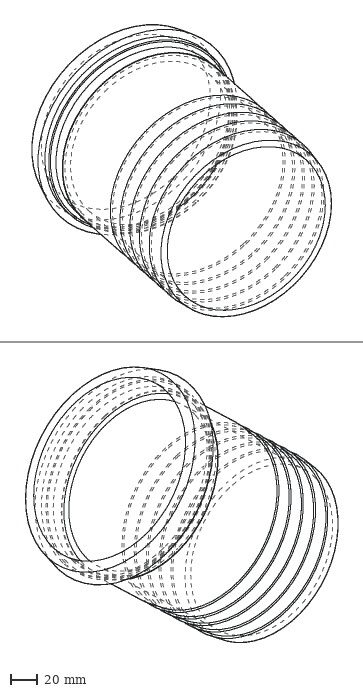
import cadquery as cq

total_length = 186.0

rim_length = 17.9
rim_radius = 176.0 / 2
rim_start_radius = 83.7
face_cone_depth = 0.7

collar_radius = 163.7 / 2
collar_end = 23.6
shoulder_end = 26.5
shoulder_drop = 1.5

neck_radius = 154.0 / 2
neck_end = 36.8
body_radius = 155.0 / 2

barb_count = 6
barb_start = 96.2
barb_pitch = (total_length - barb_start) / barb_count
barb_root_radius = 151.2 / 2

socket_radius = 150.0 / 2
socket_depth = neck_end
bore_radius = 140.0 / 2


def barb_points():
    """Sawtooth outline of the barbs, from the body to the far end."""
    points = []
    for index in range(barb_count):
        crest_x = barb_start + index * barb_pitch
        points.append((crest_x, body_radius))
        points.append((crest_x + barb_pitch, barb_root_radius))
    return points


rim_points = [
    (0, socket_radius),
    (face_cone_depth, rim_start_radius),
    (rim_length, rim_radius),
]
neck_points = [
    (rim_length, collar_radius),
    (collar_end, collar_radius),
    (collar_end, collar_radius - shoulder_drop),
    (shoulder_end, neck_radius),
    (neck_end, neck_radius),
    (neck_end, body_radius),
]
bore_points = [
    (total_length, bore_radius),
    (socket_depth, bore_radius),
    (socket_depth, socket_radius),
]

profile = cq.Workplane("XY").polyline(rim_points + neck_points + barb_points() + bore_points).close()
result = profile.revolve(360, (0, 0, 0), (1, 0, 0))